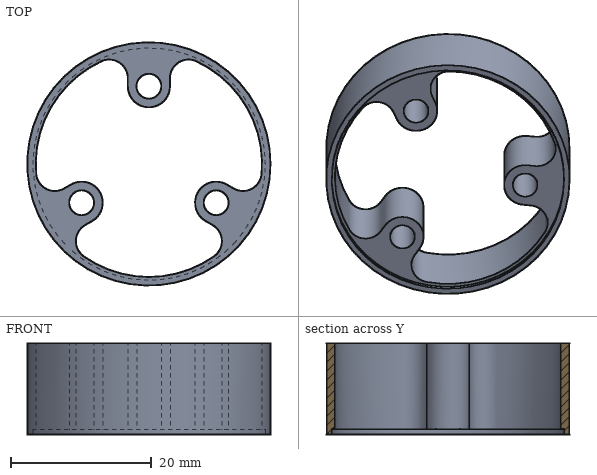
import cadquery as cq
import math

outer_diameter = 34.53
height = 13.0
inner_diameter = 32.05

boss_count = 3
boss_circle_radius = 11.0
boss_radius = 3.0
hole_diameter = 3.5
root_fillet = 2.62

recess_diameter = 32.95
recess_depth = 0.8

tolerance = 0.005
boss_angles = [90 + i * 360 / boss_count for i in range(boss_count)]
wall_middle_radius = (outer_diameter + inner_diameter) / 4


def ring():
    """Plain thin-walled tube standing on Z = 0."""
    return cq.Workplane("XY").circle(outer_diameter / 2).circle(inner_diameter / 2).extrude(height)


def boss(angle):
    """Round-nosed boss reaching inward from the wall at the given angle."""
    web_length = wall_middle_radius - boss_circle_radius
    nose = cq.Workplane("XY").center(boss_circle_radius, 0).circle(boss_radius).extrude(height)
    web = (
        cq.Workplane("XY")
        .center(boss_circle_radius + web_length / 2, 0)
        .rect(web_length, 2 * boss_radius)
        .extrude(height)
    )
    envelope = cq.Workplane("XY").circle(wall_middle_radius).extrude(height)
    return nose.union(web).intersect(envelope).rotate((0, 0, 0), (0, 0, 1), angle)


def is_boss_root(edge):
    """True for a vertical edge on the inner wall where a boss side meets it."""
    centre = edge.Center()
    on_inner_wall = abs(math.hypot(centre.x, centre.y) - inner_diameter / 2) < tolerance
    is_wall_seam = abs(centre.y) < tolerance
    return on_inner_wall and not is_wall_seam


body = ring()
for boss_angle in boss_angles:
    body = body.union(boss(boss_angle))
body = body.edges("|Z").filter(is_boss_root).fillet(root_fillet)

holes = (
    cq.Workplane("XY")
    .polarArray(boss_circle_radius, boss_angles[0], 360, boss_count)
    .circle(hole_diameter / 2)
    .extrude(height)
)
recess = cq.Workplane("XY").circle(recess_diameter / 2).extrude(recess_depth)

result = body.cut(holes).cut(recess)